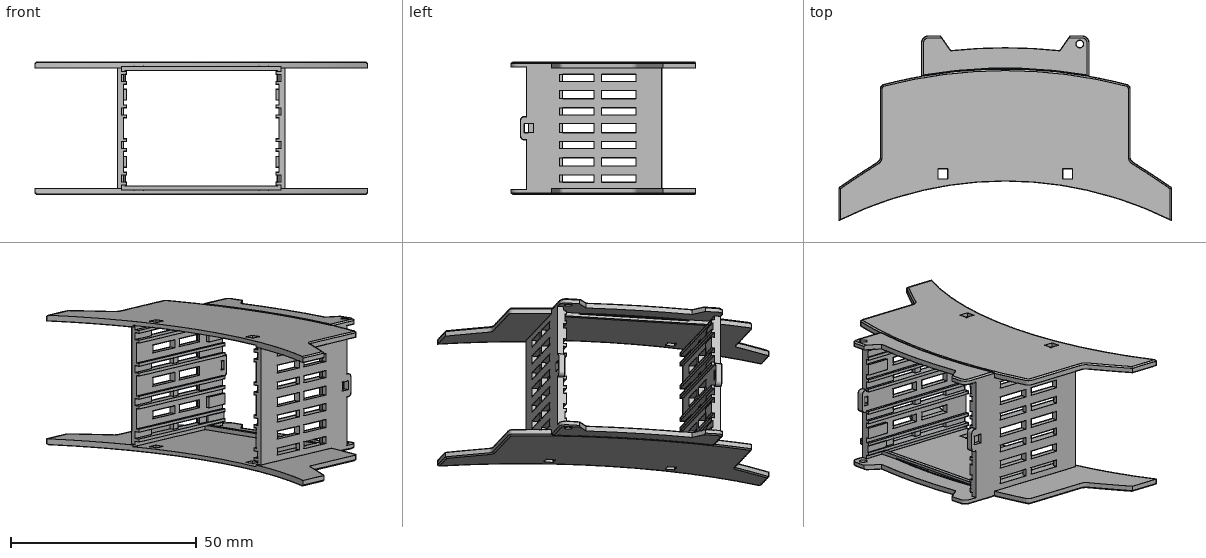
import cadquery as cq
import math

HALF_LENGTH = 44.85
HALF_HEIGHT = 17.805
REAR_Y = 24.89
TIP_Y = -24.89

FRONT_Y = -14.3
MAIN_REAR_Y = 16.0
PLATE_THICK = 1.6
SIDE_X = 33.6
SHOULDER_Y = -8.7
SHOULDER_MID = (39.8, -12.65)
WING_Y = -16.1
REAR_CORNER_RADIUS = 1.2
SHOULDER_RADIUS = 1.8
PLATE_CHAMFER_WIDTH = 0.45
PLATE_CHAMFER_HEIGHT = 0.4

ARC_SAG = FRONT_Y - TIP_Y
FRONT_RADIUS = (HALF_LENGTH**2 + ARC_SAG**2) / (2 * ARC_SAG)
ARC_CENTER_Y = FRONT_Y - FRONT_RADIUS

TAB_THICK = 1.35
TAB_ARC_Y = 21.7
TAB_EAR_X = 17.5
TAB_NOTCH_X = 14.7
TAB_CORNER_RADIUS = 2.0
TAB_CHAMFER_WIDTH = 0.5
TAB_CHAMFER_HEIGHT = 0.4
SEAM_CHAMFER = 0.3
PIN_HOLE_DIAMETER = 2.0
PIN_HOLE_CENTER = (20.1, 22.7)

WINDOW_X = 16.82
WINDOW_Y = -12.3
WINDOW_SIZE = (2.5, 2.7)

WALL_OUTER_X = 22.6
WALL_THICK = 1.7
WALL_FRONT_Y = -15.8
WALL_REAR_Y = 20.7
WALL_INNER_X = WALL_OUTER_X - WALL_THICK
GROOVE_DEPTH = 0.5
GROOVE_X = WALL_INNER_X + GROOVE_DEPTH
RAIL_X = WALL_INNER_X - 0.8

SLOT_PITCH = 4.53
SLOT_LENGTH = 9.2
SLOT_REAR_ENDS = (11.75, 0.45)
SLOT_LEDGE_Y = 10.9
SLOT_HEIGHTS = {0: 2.4, 1: 1.9, 2: 2.15, 3: 1.9}

GROOVE_HEIGHT = SLOT_HEIGHTS[1]
GROOVE_LEVELS = (SLOT_PITCH, 3 * SLOT_PITCH)
RAIL_THICK = 0.8

POCKET_TOP = 16.7
BAR_FRONT_Y = 13.9
BAR_DEPTH = 1.2
BAR_BOTTOM = 15.5
PAD_HEIGHT = 3.0
PAD_LEVEL = 2 * SLOT_PITCH
FILLER_X = 20.45

LUG_REAR_Y = 22.3
LUG_HALF_HEIGHT = 3.1
LUG_RADIUS = 1.1
LATCH_REAR_Y = 21.3
LATCH_FRONT_Y = 18.8
LATCH_SKIN_Y = 20.2
LATCH_HEIGHT = 2.4


def block(x_range, y_range, z_range):
    """Axis-aligned box from three (low, high) ranges."""
    lows, highs = zip(x_range, y_range, z_range)
    sizes = [high - low for low, high in zip(lows, highs)]
    return cq.Workplane("XY").box(*sizes, centered=False).translate(lows)


def arc_y(crown_y, x):
    """Y at offset x on the concentric arc that crosses the centreline at crown_y."""
    radius = crown_y - ARC_CENTER_Y
    return ARC_CENTER_Y + math.sqrt(radius**2 - x**2)


def main_plate():
    """Upper main plate: curved front and rear, and two swept wings."""
    rear_corner_y = arc_y(MAIN_REAR_Y, SIDE_X)
    mid_x, mid_y = SHOULDER_MID
    plate = (
        cq.Workplane("XY", origin=(0, 0, HALF_HEIGHT - PLATE_THICK))
        .moveTo(-HALF_LENGTH, TIP_Y)
        .threePointArc((0, FRONT_Y), (HALF_LENGTH, TIP_Y))
        .lineTo(HALF_LENGTH, WING_Y)
        .threePointArc((mid_x, mid_y), (SIDE_X, SHOULDER_Y))
        .lineTo(SIDE_X, rear_corner_y)
        .threePointArc((0, MAIN_REAR_Y), (-SIDE_X, rear_corner_y))
        .lineTo(-SIDE_X, SHOULDER_Y)
        .threePointArc((-mid_x, mid_y), (-HALF_LENGTH, WING_Y))
        .close()
        .extrude(PLATE_THICK)
    )
    for corner_y, radius in ((rear_corner_y, REAR_CORNER_RADIUS), (SHOULDER_Y, SHOULDER_RADIUS)):
        for side in (-1, 1):
            corner = cq.selectors.NearestToPointSelector((side * SIDE_X, corner_y, HALF_HEIGHT))
            plate = plate.edges("|Z").edges(corner).fillet(radius)
    front_edge = cq.selectors.NearestToPointSelector((0, FRONT_Y, HALF_HEIGHT))
    rim = plate.faces(">Z").edges().vals()
    front = plate.faces(">Z").edges(front_edge).val()
    outer_rim = [edge for edge in rim if not edge.isSame(front)]
    return plate.newObject(outer_rim).chamfer(PLATE_CHAMFER_HEIGHT, PLATE_CHAMFER_WIDTH)


def tab_plate():
    """Upper rear tab: two ears with a curved recess between them."""
    root_y = arc_y(MAIN_REAR_Y, WALL_OUTER_X)
    notch_y = arc_y(TAB_ARC_Y, TAB_NOTCH_X)
    tab = (
        cq.Workplane("XY", origin=(0, 0, HALF_HEIGHT - TAB_THICK))
        .moveTo(-WALL_OUTER_X, root_y)
        .threePointArc((0, MAIN_REAR_Y), (WALL_OUTER_X, root_y))
        .lineTo(WALL_OUTER_X, REAR_Y)
        .lineTo(TAB_EAR_X, REAR_Y)
        .lineTo(TAB_NOTCH_X, notch_y)
        .threePointArc((0, TAB_ARC_Y), (-TAB_NOTCH_X, notch_y))
        .lineTo(-TAB_EAR_X, REAR_Y)
        .lineTo(-WALL_OUTER_X, REAR_Y)
        .close()
        .extrude(TAB_THICK)
    )
    for side in ("<X", ">X"):
        tab = tab.edges("|Z").edges(">Y").edges(side).fillet(TAB_CORNER_RADIUS)
    outer_rim = [
        edge
        for edge in tab.faces(">Z").edges().vals()
        if abs(edge.Center().x) > TAB_EAR_X + TAB_CORNER_RADIUS
        or edge.Center().y > REAR_Y - TAB_CHAMFER_WIDTH
    ]
    tab = tab.newObject(outer_rim).chamfer(TAB_CHAMFER_HEIGHT, TAB_CHAMFER_WIDTH)
    tab = tab.faces(">Z").edges("<Y").chamfer(SEAM_CHAMFER)
    pin_hole = (
        cq.Workplane("XY").center(*PIN_HOLE_CENTER).circle(PIN_HOLE_DIAMETER / 2).extrude(HALF_HEIGHT)
    )
    return tab.cut(pin_hole)


def cover():
    """Upper cover: plate, tab and crossbar, thinned between the walls."""
    plate = main_plate()
    pocket = block((-GROOVE_X, GROOVE_X), (TIP_Y, BAR_FRONT_Y), (0, POCKET_TOP))
    windows = (
        cq.Workplane("XY")
        .pushPoints([(-WINDOW_X, WINDOW_Y), (WINDOW_X, WINDOW_Y)])
        .rect(*WINDOW_SIZE)
        .extrude(HALF_HEIGHT)
    )
    bar = block(
        (-GROOVE_X, GROOVE_X), (BAR_FRONT_Y, BAR_FRONT_Y + BAR_DEPTH), (BAR_BOTTOM, POCKET_TOP)
    )
    return plate.cut(pocket).cut(windows).union(tab_plate()).union(bar)


def wall_slots():
    """Cutter for the slot grid, shortened at the rear in the inner skin."""
    cutter = cq.Workplane("XY")
    for row in range(-3, 4):
        half = SLOT_HEIGHTS[abs(row)] / 2
        z_range = (row * SLOT_PITCH - half, row * SLOT_PITCH + half)
        for rear_y in SLOT_REAR_ENDS:
            front_y = rear_y - SLOT_LENGTH
            skin_rear_y = min(rear_y, SLOT_LEDGE_Y)
            cutter = cutter.union(block((GROOVE_X, WALL_OUTER_X), (front_y, rear_y), z_range))
            cutter = cutter.union(block((WALL_INNER_X, GROOVE_X), (front_y, skin_rear_y), z_range))
    return cutter


def latch_window():
    """Cutter for the latch window, longer in the outer skin."""
    z_range = (-LATCH_HEIGHT / 2, LATCH_HEIGHT / 2)
    outer = block((GROOVE_X, WALL_OUTER_X), (LATCH_FRONT_Y, LATCH_REAR_Y), z_range)
    inner = block((WALL_INNER_X, GROOVE_X), (LATCH_SKIN_Y, LATCH_REAR_Y), z_range)
    return outer.union(inner)


def wall_half_details():
    """Rails, pads and fillers on the upper half of the right wall, and its groove cutter."""
    length = (WALL_FRONT_Y, WALL_REAR_Y)
    half_groove = GROOVE_HEIGHT / 2
    top_rail = GROOVE_LEVELS[-1] + half_groove + RAIL_THICK
    grooves = block((WALL_INNER_X, GROOVE_X), (WALL_FRONT_Y, BAR_FRONT_Y), (top_rail, POCKET_TOP))
    rails = cq.Workplane("XY")
    for level in GROOVE_LEVELS:
        low = level - half_groove
        high = level + half_groove
        grooves = grooves.union(block((WALL_INNER_X, GROOVE_X), (WALL_FRONT_Y, SLOT_LEDGE_Y), (low, high)))
        for z_range in ((low - RAIL_THICK, low), (high, high + RAIL_THICK)):
            rails = rails.union(block((RAIL_X, WALL_INNER_X), length, z_range))
    rear = (BAR_FRONT_Y, WALL_REAR_Y)
    pad = block((RAIL_X, WALL_INNER_X), rear, (PAD_LEVEL - PAD_HEIGHT / 2, PAD_LEVEL + PAD_HEIGHT / 2))
    filler = block((FILLER_X, WALL_INNER_X), rear, (GROOVE_LEVELS[-1] - half_groove, BAR_BOTTOM))
    return rails.union(pad).union(filler), grooves


def side_wall():
    """Right wall with its lug, grooves, rails, slots and latch window."""
    top = HALF_HEIGHT - TAB_THICK
    thickness = (WALL_INNER_X, WALL_OUTER_X)
    wall = block(thickness, (WALL_FRONT_Y, WALL_REAR_Y), (-top, top))
    lug = block(thickness, (LATCH_FRONT_Y, LUG_REAR_Y), (-LUG_HALF_HEIGHT, LUG_HALF_HEIGHT))
    lug = lug.edges("|X and >Y").fillet(LUG_RADIUS)
    details, grooves = wall_half_details()
    wall = wall.union(lug).cut(grooves).cut(grooves.mirror("XY"))
    wall = wall.union(details).union(details.mirror("XY"))
    return wall.cut(wall_slots()).cut(latch_window())


upper_cover = cover()
right_wall = side_wall()
result = (
    upper_cover.union(upper_cover.mirror("XY"))
    .union(right_wall)
    .union(right_wall.mirror("YZ"))
    .clean()
)